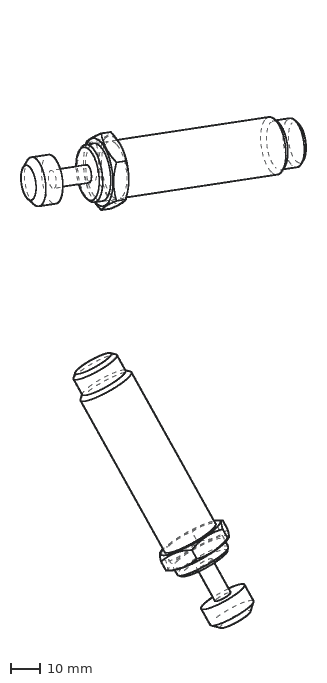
import cadquery as cq
import math


housing_dia = 20.0
front_face_dia = 18.4
front_chamfer_length = 0.9
housing_length = 79.6
tail_dia = 17.0
tail_length = 7.6
tail_chamfer = 1.4
shoulder_length = 1.48

nut_across_flats = 24.0
nut_thickness = 6.0
nut_front = 4.0
nut_face_dia = 23.5
nut_chamfer_angle = 30.0

rod_dia = 6.2
rod_length = 13.5
cap_dia = 17.0
cap_length = 9.0
cap_chamfer = 2.5


def revolve_about_y(profile):
    """Turn a closed (radius, y) outline around the Y axis."""
    return cq.Workplane("XY").polyline(profile).close().revolve(360, (0, 0, 0), (0, 1, 0))


def make_housing():
    barrel_radius = housing_dia / 2
    tail_radius = tail_dia / 2
    tail_start = housing_length - tail_length
    return revolve_about_y([
        (0, 0),
        (front_face_dia / 2, 0),
        (barrel_radius, front_chamfer_length),
        (barrel_radius, tail_start - shoulder_length),
        (tail_radius, tail_start),
        (tail_radius, housing_length - tail_chamfer),
        (tail_radius - tail_chamfer, housing_length),
        (0, housing_length),
    ])


def make_nut():
    nut_back = nut_front + nut_thickness
    corner_radius = nut_across_flats / math.sqrt(3)
    face_radius = nut_face_dia / 2
    bore_radius = housing_dia / 2
    chamfer_length = (corner_radius - face_radius) * math.tan(math.radians(nut_chamfer_angle))

    corner_angles = [math.radians(90 + 60 * i) for i in range(6)]
    corners = [(corner_radius * math.cos(a), corner_radius * math.sin(a)) for a in corner_angles]
    hexagon = (
        cq.Workplane("XZ", origin=(0, nut_front, 0))
        .polyline(corners)
        .close()
        .extrude(-nut_thickness)
    )

    envelope = revolve_about_y([
        (bore_radius, nut_front),
        (face_radius, nut_front),
        (corner_radius, nut_front + chamfer_length),
        (corner_radius, nut_back - chamfer_length),
        (face_radius, nut_back),
        (bore_radius, nut_back),
    ])
    return hexagon.intersect(envelope).solids()


def make_plunger():
    rod_radius = rod_dia / 2
    cap_radius = cap_dia / 2
    cap_back = -rod_length
    cap_front = cap_back - cap_length
    return revolve_about_y([
        (0, 0),
        (rod_radius, 0),
        (rod_radius, cap_back),
        (cap_radius, cap_back),
        (cap_radius, cap_front + cap_chamfer),
        (cap_radius - cap_chamfer, cap_front),
        (0, cap_front),
    ])


housing = make_housing()
nut = make_nut()
plunger = make_plunger()

result = cq.Compound.makeCompound([housing.val(), nut.val(), plunger.val()])